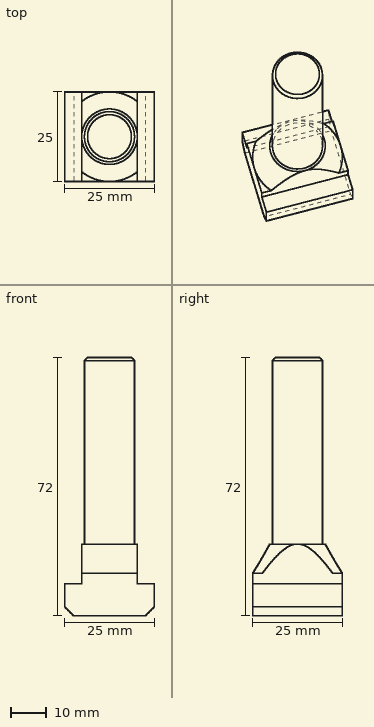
import cadquery as cq

total_height = 72
head_width = 25.0
head_chamfer = 2.5
flange_top = 9.0
neck_block_top = 11.9
neck_width = 15.5
neck_top = 20.0
shank_diameter = 14.0
tip_chamfer = 0.9

flange = (
    cq.Workplane("XY")
    .box(head_width, head_width, flange_top, centered=(True, True, False))
    .edges("|Y and <Z")
    .chamfer(head_chamfer)
)

neck_block = cq.Workplane("XY").box(
    neck_width, head_width, neck_block_top, centered=(True, True, False)
)

cone = (
    cq.Workplane("XY")
    .workplane(offset=neck_block_top)
    .circle(head_width / 2)
    .workplane(offset=neck_top - neck_block_top)
    .circle(neck_width / 2)
    .loft()
)
neck_envelope = cq.Workplane("XY").box(
    neck_width, head_width, neck_top, centered=(True, True, False)
)
tapered_neck = cone.intersect(neck_envelope)

shank = (
    cq.Workplane("XY")
    .workplane(offset=neck_top)
    .circle(shank_diameter / 2)
    .extrude(total_height - neck_top)
    .faces(">Z")
    .chamfer(tip_chamfer)
)

result = flange.union(neck_block).union(tapered_neck).union(shank)